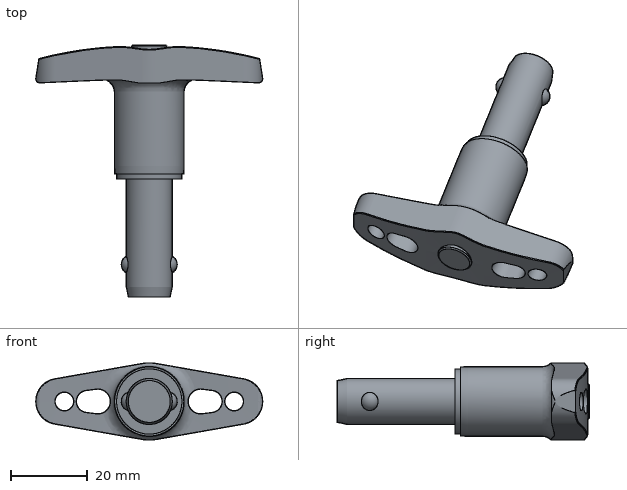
import math

import cadquery as cq


shank_radius = 6.0
shank_length = 30.7
tip_radius = 5.45
tip_length = 2.6

ball_radius = 2.45
ball_reach = 7.3
ball_y = -22.2

collar_radius = 8.5
collar_length = 1.4
band_radius = 9.0
band_end_y = 3.4
body_radius = 9.1
body_top_y = 31.0
root_fillet = 3.1

hub_radius = 10.08
end_radius = 6.0
end_center_x = 23.55

handle_tip_x = end_center_x + end_radius
underside_y = 26.5
underside_slope = 0.05
lower_corner_x = handle_tip_x + 0.2
lower_corner_y = underside_y - underside_slope * lower_corner_x
lower_corner_fillet = 1.1
slab_half_width = 14.0
dish_y = 33.8
crest_x = 7.9
crest_y = 34.57
brow_x = 19.0
brow_y = 33.45
shoulder_x = 28.75
shoulder_y = 31.4
top_edge_break = 0.2

hole_x = 22.1
hole_radius = 2.4
slot_inner_x = 13.35
slot_inner_radius = 3.2
slot_outer_x = 16.1
slot_outer_radius = 2.85

button_radius = 4.6
button_top_y = 35.0
button_edge = 0.35
button_base_y = body_top_y

SIDES = (-1, 1)
CUT_MARGIN = 5.0
ROOT_MARGIN = 1.0


def prism(outline, y_low, y_high):
    """Extrude an (x, z) outline drawn on the XZ plane from y_low to y_high."""
    return outline.extrude(y_low - y_high).translate((0, y_low, 0))


def cylinder(radius, y_low, y_high, x=0):
    return prism(cq.Workplane("XZ").center(x, 0).circle(radius), y_low, y_high)


def tangent_hull(x_a, radius_a, x_b, radius_b):
    """Outline of two circles on the X axis (x_a < x_b) joined by their outer tangents."""
    lean = (radius_a - radius_b) / (x_b - x_a)
    rise = math.sqrt(1 - lean**2)
    a_x, a_z = x_a + radius_a * lean, radius_a * rise
    b_x, b_z = x_b + radius_b * lean, radius_b * rise
    return (
        cq.Workplane("XZ")
        .moveTo(a_x, a_z)
        .lineTo(b_x, b_z)
        .threePointArc((x_b + radius_b, 0), (b_x, -b_z))
        .lineTo(a_x, -a_z)
        .threePointArc((x_a - radius_a, 0), (a_x, a_z))
        .close()
    )


def turned(profile):
    """Revolve an (r, y) profile about the pin axis."""
    return cq.Workplane("XY").polyline(profile).close().revolve(360, (0, 0, 0), (0, 1, 0))


def handle_slab():
    """Side profile over a shallow conical underside, wider in Z than the finished handle."""
    underside_reach = 2 * handle_tip_x
    rim_y = underside_y - underside_slope * underside_reach
    end_slope = (lower_corner_x - shoulder_x) / (shoulder_y - lower_corner_y)
    base_x = shoulder_x + end_slope * (shoulder_y - rim_y)
    above_cone = turned([
        (0, underside_y),
        (underside_reach, rim_y),
        (underside_reach, button_top_y),
        (0, button_top_y),
    ])
    side_profile = (
        cq.Workplane("XY")
        .moveTo(-base_x, rim_y)
        .lineTo(base_x, rim_y)
        .lineTo(shoulder_x, shoulder_y)
        .threePointArc((brow_x, brow_y), (crest_x, crest_y))
        .spline(
            [(0, dish_y), (-crest_x, crest_y)],
            tangents=[(-1, 0), (-1, 0)],
            includeCurrent=True,
        )
        .threePointArc((-brow_x, brow_y), (-shoulder_x, shoulder_y))
        .close()
    )
    slab = side_profile.extrude(slab_half_width, both=True).intersect(above_cone)
    return slab.edges("<X or >X").fillet(lower_corner_fillet)


def body():
    """Turned collar, conical band and body, reaching up into the handle."""
    profile = [
        (0, 0),
        (collar_radius, 0),
        (collar_radius, collar_length),
        (band_radius, collar_length),
        (body_radius, band_end_y),
        (body_radius, body_top_y),
        (0, body_top_y),
    ]
    return turned(profile)


def handle_outline():
    """Hub circle joined to both end circles, seen along the pin axis."""
    lean = (hub_radius - end_radius) / end_center_x
    rise = math.sqrt(1 - lean**2)
    hub_x, hub_z = hub_radius * lean, hub_radius * rise
    end_x, end_z = end_center_x + end_radius * lean, end_radius * rise
    return (
        cq.Workplane("XZ")
        .moveTo(hub_x, hub_z)
        .lineTo(end_x, end_z)
        .threePointArc((handle_tip_x, 0), (end_x, -end_z))
        .lineTo(hub_x, -hub_z)
        .threePointArc((0, -hub_radius), (-hub_x, -hub_z))
        .lineTo(-end_x, -end_z)
        .threePointArc((-handle_tip_x, 0), (-end_x, end_z))
        .lineTo(-hub_x, hub_z)
        .threePointArc((0, hub_radius), (hub_x, hub_z))
        .close()
    )


def handle_with_body():
    """Handle and body blended by the root fillet, then trimmed to the handle outline."""
    root_zone = cq.selectors.BoxSelector(
        (-hub_radius, underside_y - ROOT_MARGIN, -hub_radius),
        (hub_radius, underside_y + ROOT_MARGIN, hub_radius),
    )
    blended = handle_slab().union(body()).edges(root_zone).fillet(root_fillet)
    trimmed = blended.intersect(prism(handle_outline(), -CUT_MARGIN, button_top_y))
    return trimmed.faces(">Y").edges().chamfer(top_edge_break)


def handle_openings(side):
    """Round hole and tapered slot through one wing of the handle."""
    low_y = underside_y - CUT_MARGIN
    high_y = button_top_y + CUT_MARGIN
    hole = cylinder(hole_radius, low_y, high_y, side * hole_x)
    slot = prism(
        tangent_hull(slot_inner_x, slot_inner_radius, slot_outer_x, slot_outer_radius),
        low_y,
        high_y,
    )
    if side < 0:
        slot = slot.mirror("YZ")
    return hole.union(slot)


def locking_ball(side):
    return cq.Workplane("XY").sphere(ball_radius).translate((side * (ball_reach - ball_radius), ball_y, 0))


def shank():
    profile = [
        (0, 0),
        (shank_radius, 0),
        (shank_radius, tip_length - shank_length),
        (tip_radius, -shank_length),
        (0, -shank_length),
    ]
    return turned(profile)


def push_button():
    button = cylinder(button_radius, button_base_y, button_top_y)
    return button.faces(">Y").edges().chamfer(button_edge)


result = handle_with_body().union(shank()).union(push_button())
for side in SIDES:
    result = result.cut(handle_openings(side)).union(locking_ball(side))